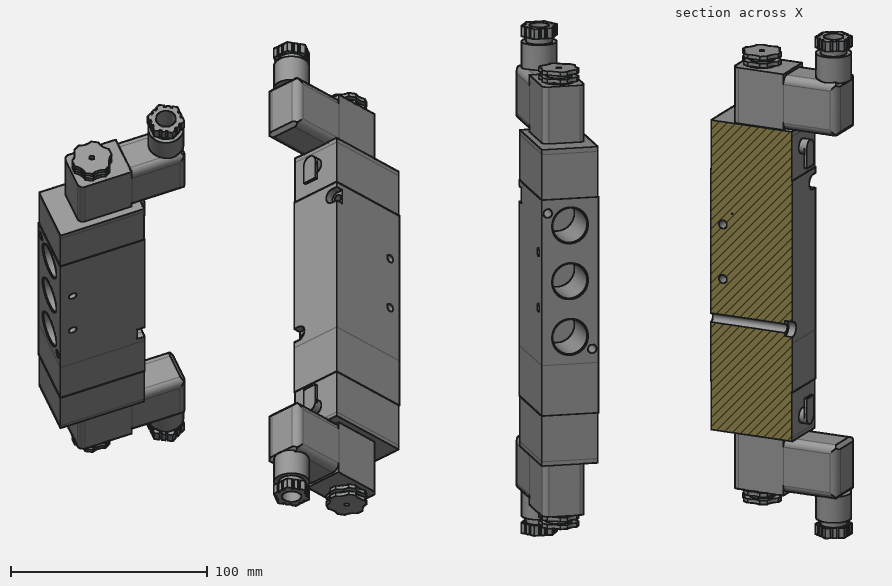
import cadquery as cq
import math


body_width = 30.0
body_depth = 46.3
body_end = 56.5
spacer_top = -30.0
cap_end = 80.2
plate_end = 82.5
cap_inset = 0.3

port_diameter = 18.0
port_depth = 26.5
port_chamfer = 0.5
port_pitch = 29.0
middle_port_z = 13.2
mount_diameter = 4.5
mount_x = 11.6
mount_offset_z = 36.0
side_hole_y = 7.0
side_hole_diameter = 4.2
recess_diameter = 8.0
recess_depth = 4.2

override_z = 71.7
override_diameter = 8.0
override_height = 4.5
lever_thickness = 1.3
lever_reach = 10.3

coil_width = 22.0
coil_front = 12.2
coil_back = 40.8
coil_top = 112.2
coil_corner = 3.0

knob_y = 23.3
knob_base_diameter = 15.0
knob_neck_diameter = 13.5
knob_tip_radius = 10.0
knob_tip_half_width = 1.9
knob_scallop = 0.8
knob_flange = 2.0
knob_lower_z = 113.3
knob_top = 119.5
pin_hole_diameter = 2.5
pin_hole_depth = 2.6

connector_back = 71.0
connector_bottom = 82.3
connector_top = 111.0
connector_edge = 4.0
connector_outline_cut = 2.0
sleeve_y = 63.8
sleeve_diameter = 18.0
sleeve_bottom = 110.0
sleeve_top = 124.0
gland_neck_diameter = 13.5
gland_bottom = 127.0
overall_half_length = 132.4
gland_across_flats = 16.5
gland_groove_width = 1.0
gland_groove_depth = 0.8
gland_groove_offset = 1.5
cable_hole_diameter = 10.0
cable_hole_depth = 13.2

hex_sides = 6


def block(width, y_front, y_back, z_bottom, z_top):
    """Box centred on X between the given Y and Z limits."""
    return (
        cq.Workplane("XY", origin=(0, 0, z_bottom))
        .rect(width, y_back - y_front)
        .extrude(z_top - z_bottom)
        .translate((0, (y_front + y_back) / 2, 0))
    )


def disc(diameter, y, z_bottom, z_top):
    """Upright cylinder centred on X."""
    return cq.Workplane("XY", origin=(0, y, z_bottom)).circle(diameter / 2).extrude(z_top - z_bottom)


def along_y(diameter, x, z, depth):
    """Cylinder running back from the ported face."""
    return (
        cq.Workplane("XZ", origin=(x, 0, z))
        .circle(diameter / 2)
        .extrude(-depth)
    )


def make_body():
    body = block(body_width, 0, body_depth, spacer_top, body_end)
    for row in (-1, 0, 1):
        port_z = middle_port_z + row * port_pitch
        body = body.cut(along_y(port_diameter, 0, port_z, port_depth))
        mouth = cq.selectors.NearestToPointSelector((0, 0, port_z))
        body = body.edges(mouth).chamfer(port_chamfer)

    for row in (-0.5, 0.5):
        side_hole = (
            cq.Workplane("YZ", origin=(-body_width / 2, side_hole_y, middle_port_z + row * port_pitch))
            .circle(side_hole_diameter / 2)
            .extrude(body_width)
        )
        body = body.cut(side_hole)

    for side in (-1, 1):
        hole_z = middle_port_z - side * mount_offset_z
        body = body.cut(along_y(mount_diameter, side * mount_x, hole_z, body_depth))
        recess = along_y(recess_diameter, side * mount_x, hole_z, recess_depth)
        opening = (
            cq.Workplane("XZ", origin=(side * body_width / 2, 0, hole_z))
            .rect(2 * (body_width / 2 - mount_x), recess_diameter)
            .extrude(-recess_depth)
        )
        body = body.cut(recess.union(opening).translate((0, body_depth - recess_depth, 0)))
    return body


def make_cap(z_bottom, z_top):
    return block(body_width - 2 * cap_inset, cap_inset, body_depth - cap_inset, z_bottom, z_top)


def make_override():
    """Round button carrying a lever that points towards the middle of the valve."""
    start = body_depth - cap_inset
    button = along_y(override_diameter, 0, override_z, override_height).translate((0, start, 0))
    lever_back = start + override_height
    lever_front = lever_back - lever_thickness
    lever = block(override_diameter, lever_front, lever_back, override_z - lever_reach, override_z)
    return button.union(lever)


def make_coil():
    coil = block(coil_width, coil_front, coil_back, plate_end, coil_top)
    return coil.edges("|Z and <Y").fillet(coil_corner)


def lobe_point(radial, tangential, angle):
    return (
        radial * math.cos(angle) - tangential * math.sin(angle),
        radial * math.sin(angle) + tangential * math.cos(angle),
    )


def make_lobed_flange(z_bottom):
    """Hexagonal flange with blunt tips and scalloped sides; one tip points along Y."""
    step = 2 * math.pi / hex_sides
    side_radius = knob_tip_radius * math.cos(step / 2) + knob_tip_half_width * math.sin(step / 2)
    scallop_radius = side_radius - knob_scallop
    first_angle = math.pi / 2
    outline = cq.Workplane("XY", origin=(0, knob_y, z_bottom)).moveTo(
        *lobe_point(knob_tip_radius, -knob_tip_half_width, first_angle)
    )
    for lobe in range(hex_sides):
        angle = first_angle + lobe * step
        outline = outline.lineTo(*lobe_point(knob_tip_radius, knob_tip_half_width, angle))
        outline = outline.threePointArc(
            lobe_point(scallop_radius, 0, angle + step / 2),
            lobe_point(knob_tip_radius, -knob_tip_half_width, angle + step),
        )
    return outline.close().extrude(knob_flange)


def make_knob():
    knob = disc(knob_base_diameter, knob_y, coil_top, knob_lower_z)
    knob = knob.union(disc(knob_neck_diameter, knob_y, knob_lower_z, knob_top))
    knob = knob.union(make_lobed_flange(knob_lower_z))
    knob = knob.union(make_lobed_flange(knob_top - knob_flange))
    return knob.cut(disc(pin_hole_diameter, knob_y, knob_top - pin_hole_depth, knob_top))


def make_connector():
    envelope = block(coil_width, coil_back, connector_back, connector_bottom, connector_top)
    connector = envelope.faces("<X or >X").edges("not <Y").fillet(connector_edge)
    return connector.intersect(envelope.edges("|X and >Y").chamfer(connector_outline_cut))


def make_gland():
    """Sleeve with a grooved hexagonal cable nut on a narrower neck."""
    across_corners = gland_across_flats / math.cos(math.pi / hex_sides)
    nut_height = overall_half_length - gland_bottom
    nut = (
        cq.Workplane("XY", origin=(0, sleeve_y, gland_bottom))
        .polygon(hex_sides, across_corners)
        .extrude(nut_height)
    )
    groove_pair = (
        cq.Workplane("XY", origin=(0, sleeve_y - gland_across_flats / 2, gland_bottom))
        .pushPoints([(-gland_groove_offset, 0), (gland_groove_offset, 0)])
        .rect(gland_groove_width, 2 * gland_groove_depth)
        .extrude(nut_height)
    )
    for flat in range(hex_sides):
        turn = flat * 360 / hex_sides
        nut = nut.cut(groove_pair.rotate((0, sleeve_y, 0), (0, sleeve_y, 1), turn))

    gland = disc(sleeve_diameter, sleeve_y, sleeve_bottom, sleeve_top)
    gland = gland.union(disc(gland_neck_diameter, sleeve_y, sleeve_top, gland_bottom)).union(nut)
    hole_bottom = overall_half_length - cable_hole_depth
    return gland.cut(disc(cable_hole_diameter, sleeve_y, hole_bottom, overall_half_length))


def make_pilot():
    """Everything above the ported block; seams between the pieces are kept."""
    pilot = make_cap(body_end, cap_end)
    pieces = (
        make_cap(cap_end, plate_end),
        make_override(),
        make_coil(),
        make_knob(),
        make_connector(),
        make_gland(),
    )
    for piece in pieces:
        pilot = pilot.union(piece, clean=False)
    return pilot


top_pilot = make_pilot()
bottom_pilot = top_pilot.mirror("XY")
spacer = block(body_width, 0, body_depth, -body_end, spacer_top)
result = make_body()
for section in (spacer, top_pilot, bottom_pilot):
    result = result.union(section, clean=False)